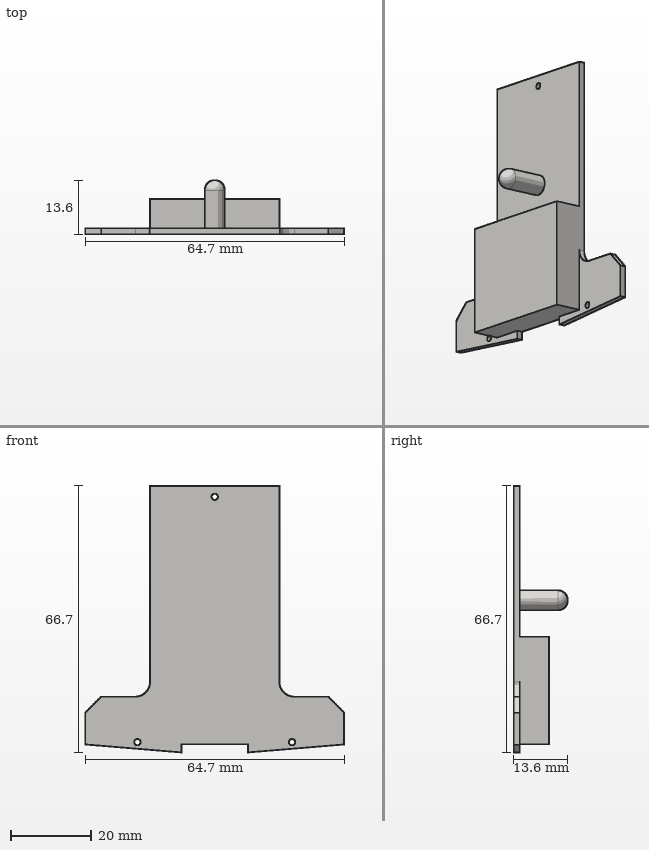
import cadquery as cq

height = 66.65
base_width = 64.7
column_width = 32.4
plate_thickness = 1.6
base_top = 14.0
corner_chamfer = 4.0
corner_fillet = 3.65
side_bottom = 2.0

notch_width = 16.5
notch_height = 2.05

hole_diameter = 1.5
top_hole_drop = 2.7
low_hole_spacing = 38.65
low_hole_height = 2.6

block_depth = 7.25
block_top = 29.0
pin_diameter = 5.05
pin_height = 38.05
overall_depth = 13.6


def make_plate():
    """Symmetric outline, drawn as the right half and mirrored, extruded toward +Y."""
    half_base = base_width / 2
    half_column = column_width / 2
    half_notch = notch_width / 2
    half_outline = [
        (0, notch_height),
        (half_notch, notch_height),
        (half_notch, 0),
        (half_base, side_bottom),
        (half_base, base_top - corner_chamfer),
        (half_base - corner_chamfer, base_top),
        (half_column + corner_fillet, base_top),
    ]
    arc_inset = corner_fillet * (1 - 0.5**0.5)
    half_plate = (
        cq.Workplane("XZ")
        .polyline(half_outline)
        .threePointArc(
            (half_column + arc_inset, base_top + arc_inset),
            (half_column, base_top + corner_fillet),
        )
        .lineTo(half_column, height)
        .lineTo(0, height)
        .close()
        .extrude(-plate_thickness)
    )
    return half_plate.union(half_plate.mirror("YZ")).clean()


def make_holes():
    """Cutters for one hole near the top and two in the base."""
    centres = [
        (0, height - top_hole_drop),
        (-low_hole_spacing / 2, low_hole_height),
        (low_hole_spacing / 2, low_hole_height),
    ]
    return cq.Workplane("XZ").pushPoints(centres).circle(hole_diameter / 2).extrude(-plate_thickness)


def make_block():
    """Block as wide as the column, resting level with the top of the notch."""
    return cq.Workplane("XY").box(
        column_width, block_depth, block_top - notch_height, centered=(True, False, False)
    ).translate((0, plate_thickness, notch_height))


def make_pin():
    """Pin pointing toward +Y with a hemispherical end."""
    radius = pin_diameter / 2
    dome_start = overall_depth - radius
    shank = (
        cq.Workplane("XZ", origin=(0, plate_thickness, pin_height))
        .circle(radius)
        .extrude(-(dome_start - plate_thickness))
    )
    dome = cq.Workplane("XY").sphere(radius).translate((0, dome_start, pin_height))
    return shank.union(dome)


plate = make_plate().cut(make_holes())
result = plate.union(make_block()).union(make_pin())